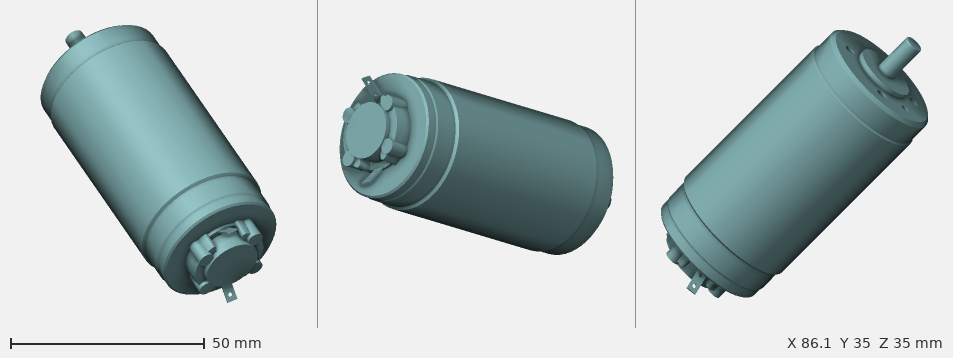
import cadquery as cq
import math

SHAFT_TIP_X = 0.0
PILOT_X = 10.9
FLANGE_X = 12.5
FLANGE_BEVEL_X = 13.5
TUBE_X = 19.45
TUBE_END_X = 69.9
CAP_STEP_X = 76.1
REAR_FACE_X = 79.7
SOCKET_BASE_X = 80.6
COLLAR_X = 84.3
POST_X = 85.2
BEARING_X = 85.7
OVERALL_LENGTH = 86.1

SHAFT_R = 2.5
PILOT_R = 8.0
FLANGE_R = 17.0
FLANGE_FACE_R = 16.0
TUBE_D = 35.0
TUBE_R = TUBE_D / 2
CAP_R = 16.8
CAP_REAR_R = 16.5
CAP_STEP_LENGTH = 0.5
REAR_FACE_R = 16.0
FRONT_TUBE_BEVEL = 0.4
REAR_TUBE_BEVEL = 0.6
SHAFT_BEVEL = 0.4
SHAFT_BEVEL_DROP = 0.1

MOUNT_HOLE_COUNT = 4
MOUNT_CIRCLE_R = 11.0
MOUNT_HOLE_D = 3.0
FACE_HOLE_DEPTH = 4.3
DOWEL_OFFSET = 8.1
DOWEL_HOLE_D = 2.15
DRILL_TIP_ANGLE = 118.0

BEARING_D = 14.9
BEARING_R = BEARING_D / 2
SOCKET_BASE_R = 9.5
COLLAR_BASE_R = 10.3
COLLAR_END_R = 10.0
WINDOW_WIDTH = 7.6
COLLAR_EDGE_FILLET = 0.9
POST_Y = 7.15
POST_Z = 5.85
POST_R = 2.1

TAB_ANGLE = 45.0
TAB_WIDTH = 2.8
TAB_THICKNESS = 0.4
TAB_LENGTH = 9.5
TAB_TIP_Z = 14.2
TAB_HOLE_D = 1.1
TAB_HOLE_SETBACKS = (1.7, 5.2)


def rod(x_start, x_end, radius, y=0.0, z=0.0):
    """Cylinder along X between two stations."""
    return cq.Workplane("YZ", origin=(x_start, y, z)).circle(radius).extrude(x_end - x_start)


def turned_body():
    """Shaft, pilot boss, front flange, tube and rear cap as one revolved profile."""
    rear_bevel = CAP_REAR_R - REAR_FACE_R
    profile = [
        (SHAFT_TIP_X, 0),
        (SHAFT_TIP_X, SHAFT_R - SHAFT_BEVEL_DROP),
        (SHAFT_TIP_X + SHAFT_BEVEL, SHAFT_R),
        (PILOT_X, SHAFT_R),
        (PILOT_X, PILOT_R),
        (FLANGE_X, PILOT_R),
        (FLANGE_X, FLANGE_FACE_R),
        (FLANGE_BEVEL_X, FLANGE_R),
        (TUBE_X, FLANGE_R),
        (TUBE_X + FRONT_TUBE_BEVEL, TUBE_R),
        (TUBE_END_X - REAR_TUBE_BEVEL, TUBE_R),
        (TUBE_END_X, CAP_R),
        (CAP_STEP_X, CAP_R),
        (CAP_STEP_X + CAP_STEP_LENGTH, CAP_REAR_R),
        (REAR_FACE_X - rear_bevel, CAP_REAR_R),
        (REAR_FACE_X, REAR_FACE_R),
        (REAR_FACE_X, 0),
    ]
    return cq.Workplane("XY").polyline(profile).close().revolve(360, (0, 0, 0), (1, 0, 0))


def drilled_hole(diameter, y, z):
    """Blind hole into the flange face, ending in a drill-point cone."""
    radius = diameter / 2
    tip = radius / math.tan(math.radians(DRILL_TIP_ANGLE / 2))
    outline = [(0, 0), (0, radius), (FACE_HOLE_DEPTH, radius), (FACE_HOLE_DEPTH + tip, 0)]
    hole = cq.Workplane("XY").polyline(outline).close().revolve(360, (0, 0, 0), (1, 0, 0))
    return hole.translate((FLANGE_X, y, z))


def brush_carrier():
    """Tapered collar with a window at top and bottom, corner posts and bearing seat."""
    collar = (
        cq.Workplane("YZ", origin=(REAR_FACE_X, 0, 0))
        .circle(COLLAR_BASE_R)
        .workplane(offset=COLLAR_X - REAR_FACE_X)
        .circle(COLLAR_END_R)
        .loft()
    )
    window = (
        cq.Workplane("YZ", origin=(REAR_FACE_X, 0, 0))
        .rect(WINDOW_WIDTH, 2 * COLLAR_BASE_R)
        .extrude(COLLAR_X - REAR_FACE_X)
    )
    collar = collar.cut(window)
    collar = collar.edges("not (<X or >X)").fillet(COLLAR_EDGE_FILLET)
    carrier = rod(REAR_FACE_X, BEARING_X, BEARING_R)
    carrier = carrier.union(rod(REAR_FACE_X, SOCKET_BASE_X, SOCKET_BASE_R)).union(collar)
    for y in (-POST_Y, POST_Y):
        for z in (-POST_Z, POST_Z):
            carrier = carrier.union(rod(REAR_FACE_X, POST_X, POST_R, y, z))
    return carrier


def terminal_tab():
    """Upper terminal: a thin perforated strip with its outer tip at the overall length."""
    tab = (
        cq.Workplane("XY")
        .box(TAB_LENGTH, TAB_WIDTH, TAB_THICKNESS)
        .translate((-TAB_LENGTH / 2, 0, TAB_THICKNESS / 2))
    )
    for setback in TAB_HOLE_SETBACKS:
        hole = cq.Workplane("XY").circle(TAB_HOLE_D / 2).extrude(TAB_THICKNESS)
        tab = tab.cut(hole.translate((-setback, 0, 0)))
    tab = tab.rotate((0, 0, 0), (0, 1, 0), -TAB_ANGLE)
    return tab.translate((OVERALL_LENGTH, 0, TAB_TIP_Z))


def face_holes():
    """Ring of mounting holes plus one smaller hole on the lower -Y diagonal."""
    holes = drilled_hole(DOWEL_HOLE_D, -DOWEL_OFFSET, -DOWEL_OFFSET)
    for index in range(MOUNT_HOLE_COUNT):
        angle = 2 * math.pi * index / MOUNT_HOLE_COUNT
        y = MOUNT_CIRCLE_R * math.cos(angle)
        z = MOUNT_CIRCLE_R * math.sin(angle)
        holes = holes.union(drilled_hole(MOUNT_HOLE_D, y, z))
    return holes


upper_tab = terminal_tab()
lower_tab = upper_tab.mirror("XY")
result = turned_body().cut(face_holes()).union(brush_carrier()).union(upper_tab).union(lower_tab)